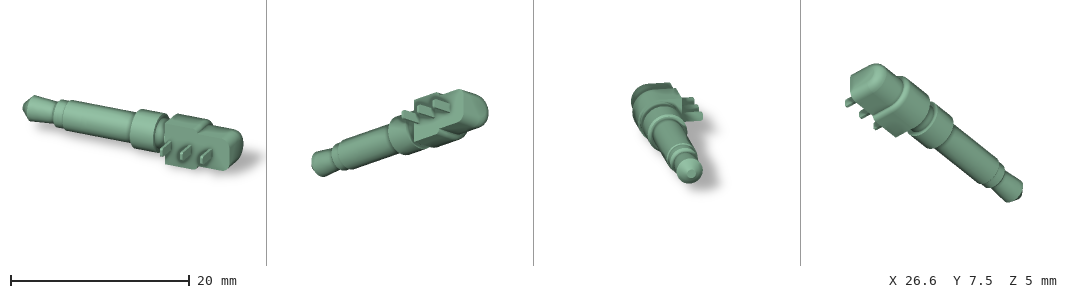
import cadquery as cq


tip_flat_radius = 0.5
tip_nose_end = 1.0
tip_nose_radius = 1.5
tip_neck_end = 4.0
tip_neck_radius = 1.25
tip_flare_end = 4.35
tip_end = 4.75
tip_land_radius = 1.6
front_insulator_end = 5.45
ring_end = 7.8
rear_insulator_end = 8.5
barrel_radius = 1.75
ring_chamfer = 0.1

collar_start = 13.96
collar_end = 17.0
collar_radius = 2.25
collar_chamfer = 0.2

flange_start = 18.35
housing_start = 18.6
large_block_end = 22.64
housing_end = 26.6
large_block_radius = 2.5
small_block_radius = 1.97
large_block_fillet = 0.55
small_block_fillet = 1.0
mount_face_y = -large_block_radius

pin_count = 3
pin_pitch = 2.5
first_pin_x = 19.35
pin_thickness = 0.32
pin_width = 1.0
pin_length = 2.5
pin_fillet = 0.25


def cylinder_x(start, end, radius):
    """Cylinder on the plug axis from X = start to X = end."""
    return cq.Workplane("YZ", origin=(start, 0, 0)).circle(radius).extrude(end - start)


def make_tip():
    profile = (
        cq.Workplane("XY")
        .polyline([
            (0, 0),
            (0, tip_flat_radius),
            (tip_nose_end, tip_nose_radius),
            (tip_neck_end, tip_neck_radius),
            (tip_flare_end, tip_land_radius),
            (tip_end, tip_land_radius),
            (tip_end, 0),
        ])
        .close()
    )
    return profile.revolve(360, (0, 0, 0), (1, 0, 0))


def make_ring():
    return cylinder_x(front_insulator_end, ring_end, barrel_radius).faces("<X").chamfer(ring_chamfer)


def make_collar():
    collar = cylinder_x(collar_start, collar_end, collar_radius).faces("<X").chamfer(collar_chamfer)
    return collar.cut(cylinder_x(collar_start, collar_end, barrel_radius))


def make_block(start, end, radius, fillet):
    """D-shaped block: flat on the mounting face, half-round on +Y, with its rear edges rounded."""
    block = (
        cq.Workplane("YZ", origin=(start, 0, 0))
        .moveTo(mount_face_y, -radius)
        .lineTo(0, -radius)
        .threePointArc((radius, 0), (0, radius))
        .lineTo(mount_face_y, radius)
        .close()
        .extrude(end - start)
    )
    return block.faces(">X").edges("not <Y").fillet(fillet)


def make_housing():
    large_block = make_block(housing_start, large_block_end, large_block_radius, large_block_fillet)
    small_block = make_block(housing_start, housing_end, small_block_radius, small_block_fillet)
    flange = cylinder_x(flange_start, housing_start, collar_radius)
    return large_block.union(small_block).union(flange)


def make_pin(center_x):
    """Flat terminal standing on the mounting face, with a rounded free end."""
    return (
        cq.Workplane("XY")
        .box(pin_thickness, pin_length, pin_width)
        .faces("<Y")
        .edges("|X")
        .fillet(pin_fillet)
        .translate((center_x, mount_face_y - pin_length / 2, 0))
    )


tip = make_tip()
front_insulator = cylinder_x(tip_end, front_insulator_end, tip_land_radius)
ring = make_ring()
rear_insulator = cylinder_x(ring_end, rear_insulator_end, barrel_radius)
sleeve = cylinder_x(rear_insulator_end, flange_start, barrel_radius)
collar = make_collar()
housing = make_housing()
pins = [make_pin(first_pin_x + index * pin_pitch) for index in range(pin_count)]

result = cq.Compound.makeCompound([
    tip.val(),
    front_insulator.val(),
    ring.val(),
    rear_insulator.val(),
    sleeve.val(),
    collar.val(),
    housing.val(),
    *[pin.val() for pin in pins],
])